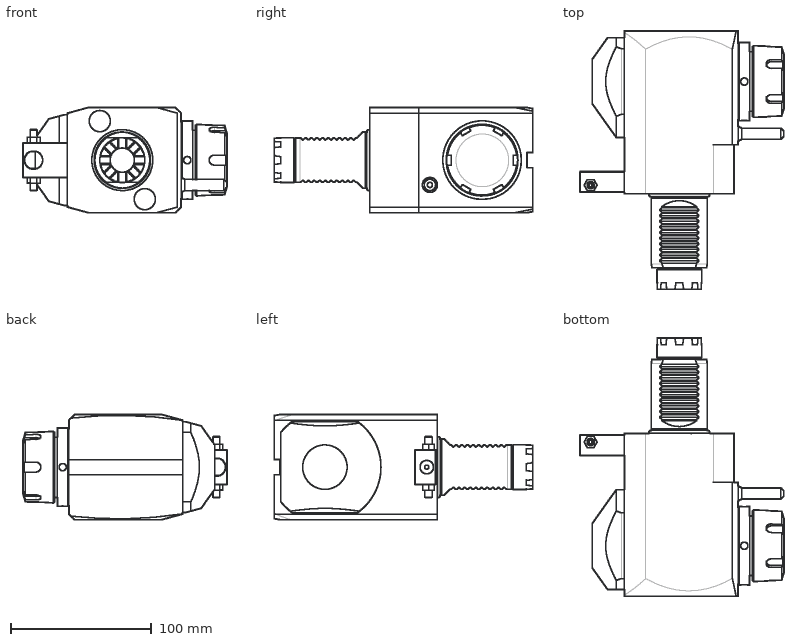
import cadquery as cq
import math


BODY_LENGTH = 116.1
BODY_HALF_HEIGHT = 37.5
BODY_HALF_WIDTH = 39.0
SIDE_HALF_HEIGHT = 33.5
BEVEL_START_X = 24.1
STEP_Y = 35.0
SPINDLE_FACE_X = 42.0
CORNER_BEVEL_WIDTH = 4.2

CROWN_RADIUS = 298.0
CROWN_HEIGHT = 36.8
CROWN_CENTRE_X = 6.6
CROWN_SLOPE = 0.18

KEYWAY_WIDTH = 10.7
KEYWAY_DEPTH = 4.0

PLUG_RADIUS = 7.5
PLUG_X = 16.0
PLUG_Z = 27.8
PLUG_DEPTH = 1.0

SPINDLE_Y = 80.0

CAP_RADIUS = 40.0
CAP_TIP_RADIUS = 15.8
CAP_RIM_X = -44.9
CAP_TIP_X = -62.0
CAP_HALF_HEIGHT = 32.4
CAP_BEND_X = -41.2
CAP_BACK_Y = 111.3

FLANGE_RADIUS = 28.0
FLANGE_START_X = 42.5
FLANGE_END_X = 50.0
FLANGE_RELIEF_RADIUS = 27.2
NECK_RADIUS = 21.3
NUT_START_X = 52.0
NUT_RADIUS = 25.5
NUT_FRONT_RADIUS = 24.8
NUT_CHAMFER_X = 72.9
NUT_END_X = 74.7
NUT_END_RADIUS = 18.8
NUT_EDGE = 1.0

WRENCH_SLOT_COUNT = 6
WRENCH_SLOT_WIDTH = 7.0
WRENCH_SLOT_START_X = 61.8
WRENCH_SLOT_FLOOR_RADIUS = 22.0

FLANGE_HOLE_COUNT = 4
FLANGE_HOLE_RADIUS = 2.5
FLANGE_HOLE_DEPTH = 2.8
DRILL_POINT_LENGTH = 1.5

PIN_Y = 42.9
PIN_Z = -17.7
PIN_RADIUS = 4.0
PIN_COLLAR_RADIUS = 5.3
PIN_COLLAR_LENGTH = 2.5
PIN_END_X = 74.5
PIN_CHAMFER = 2.2

SHANK_RADIUS = 20.0
COLLAR_RADIUS = 21.7
COLLAR_LENGTH = 2.0
COLLAR_ROUND = 1.5
UNDERCUT_RADIUS = 19.7
UNDERCUT_LENGTH = 1.1
SHANK_CHAMFER_LENGTH = 3.0
SHANK_CHAMFER_DEPTH = 0.5
SHANK_LENGTH = 52.6
DRIVE_NECK_RADIUS = 12.9
DRIVE_NECK_LENGTH = 1.0
DRIVE_RADIUS = 16.0
DRIVE_EDGE = 0.5
DRIVE_END = 67.9

CREST_HEIGHT = 15.8
CREST_WIDTH = 0.7
ROOT_HEIGHT = 14.4
SERRATION_COUNT = 10
SERRATION_PITCH = 4.01
FIRST_ROOT = 11.5
RUNOUT_START = 4.8

CLAW_SLOT_COUNT = 8
CLAW_SLOT_DEPTH = 4.8
CLAW_SLOT_FLOOR_WIDTH = 4.8
CLAW_SLOT_MOUTH_WIDTH = 6.3
CLAW_CORE_RADIUS = 8.6

BLOCK_END_X = -70.8
BLOCK_FRONT_Y = 1.1
BLOCK_BACK_Y = 16.0
BLOCK_HALF_HEIGHT = 12.5
BLOCK_CHAMFER = 0.4
CROSS_HOLE_RADIUS = 6.5
SCREW_X = -63.1
SCREW_Y = 6.3
END_HOLE_RADIUS = 4.8
END_HOLE_Y = 7.5
END_HOLE_DEPTH = 25.8
PILOT_RADIUS = 1.5
PILOT_DEPTH = 3.7
NUT_HEX_CORNERS = 9.2
NUT_HEX_HEIGHT = 3.9
STUD_RADIUS = 2.5
STUD_TIP_Z = 5.9
STUD_END_Z = 21.9
STUD_CHAMFER = 0.5
SOCKET_FLATS = 2.2
SOCKET_DEPTH = 1.8


def box(x_range, y_range, z_range):
    """Axis-aligned box between the given limits."""
    spans = [high - low for low, high in (x_range, y_range, z_range)]
    corner = (x_range[0], y_range[0], z_range[0])
    return cq.Workplane("XY").box(*spans, centered=False).translate(corner)


def rod(radius, start, end):
    """Cylinder between two points on its axis."""
    axis = cq.Vector(*end) - cq.Vector(*start)
    return cq.Workplane(obj=cq.Solid.makeCylinder(radius, axis.Length, cq.Vector(*start), axis))


def turned_on_x(profile, y, z):
    """Solid of revolution about an axis parallel to X, from (x, radius) points."""
    first_x = profile[0][0]
    last_x = profile[-1][0]
    outline = [(first_x, 0)] + profile + [(last_x, 0)]
    turned = cq.Workplane("XY").polyline(outline).close().revolve(360, (0, 0, 0), (1, 0, 0))
    return turned.translate((0, y, z))


def about_spindle(tool, index, count):
    """Copy of a tool turned to one of several evenly spaced places about the spindle axis."""
    return tool.rotate((0, SPINDLE_Y, 0), (1, SPINDLE_Y, 0), index * 360 / count)


def prism_along_y(upper_half, y_start, y_end):
    """Prism between two Y positions, mirrored about Z = 0 from its upper outline."""
    lower_half = [(x, -z) for x, z in reversed(upper_half)]
    outline = cq.Workplane("XZ", origin=(0, y_start, 0)).polyline(upper_half + lower_half).close()
    return outline.extrude(y_start - y_end)


def crown_cone():
    """Large cone that trims the rear end of the top face."""
    axis_z = CROWN_HEIGHT - CROWN_RADIUS
    front_radius = CROWN_RADIUS + CROWN_SLOPE * BODY_LENGTH
    cone = cq.Solid.makeCone(
        front_radius, CROWN_RADIUS, BODY_LENGTH, cq.Vector(CROWN_CENTRE_X, 0, axis_z), cq.Vector(0, 1, 0)
    )
    return cq.Workplane(obj=cone)


def make_body():
    left = [(-BODY_HALF_WIDTH, SIDE_HALF_HEIGHT), (-BEVEL_START_X, BODY_HALF_HEIGHT)]
    front_right = [(BEVEL_START_X, BODY_HALF_HEIGHT), (BODY_HALF_WIDTH, SIDE_HALF_HEIGHT)]
    rear_right = [
        (SPINDLE_FACE_X - CORNER_BEVEL_WIDTH, BODY_HALF_HEIGHT),
        (SPINDLE_FACE_X, SIDE_HALF_HEIGHT),
    ]
    body = prism_along_y(left + front_right, 0, STEP_Y)
    body = body.union(prism_along_y(left + rear_right, STEP_Y, BODY_LENGTH))

    upper_cone = crown_cone()
    body = body.intersect(upper_cone).intersect(upper_cone.mirror("XY"))

    keyway = box(
        (-BODY_HALF_WIDTH, SPINDLE_FACE_X),
        (BODY_LENGTH - KEYWAY_DEPTH, BODY_LENGTH),
        (-KEYWAY_WIDTH / 2, KEYWAY_WIDTH / 2),
    )
    body = body.cut(keyway)

    for side in (-1, 1):
        x = side * PLUG_X
        z = -side * PLUG_Z
        body = body.cut(rod(PLUG_RADIUS, (x, 0, z), (x, PLUG_DEPTH, z)))
    return body


def make_cap():
    """Conical rear cap, trimmed by flats and by slopes parallel to the body bevels."""
    profile = [(CAP_TIP_X, CAP_TIP_RADIUS), (CAP_RIM_X, CAP_RADIUS), (-BODY_HALF_WIDTH, CAP_RADIUS)]
    cap = turned_on_x(profile, SPINDLE_Y, 0)

    bevel_slope = (BODY_HALF_HEIGHT - SIDE_HALF_HEIGHT) / (BODY_HALF_WIDTH - BEVEL_START_X)
    tip_height = CAP_HALF_HEIGHT - bevel_slope * (CAP_BEND_X - CAP_TIP_X)
    upper_half = [
        (CAP_TIP_X, tip_height),
        (CAP_BEND_X, CAP_HALF_HEIGHT),
        (-BODY_HALF_WIDTH, CAP_HALF_HEIGHT),
    ]
    return cap.intersect(prism_along_y(upper_half, 0, CAP_BACK_Y))


def make_spindle():
    profile = [
        (SPINDLE_FACE_X, FLANGE_RELIEF_RADIUS),
        (FLANGE_START_X, FLANGE_RELIEF_RADIUS),
        (FLANGE_START_X, FLANGE_RADIUS),
        (FLANGE_END_X, FLANGE_RADIUS),
        (FLANGE_END_X, NECK_RADIUS),
        (NUT_START_X, NECK_RADIUS),
        (NUT_START_X, NUT_RADIUS - NUT_EDGE),
        (NUT_START_X + NUT_EDGE, NUT_RADIUS),
        (NUT_CHAMFER_X, NUT_FRONT_RADIUS),
        (NUT_END_X, NUT_END_RADIUS),
    ]
    spindle = turned_on_x(profile, SPINDLE_Y, 0)

    half_width = WRENCH_SLOT_WIDTH / 2
    round_centre_x = WRENCH_SLOT_START_X + half_width
    front_slot = (
        cq.Workplane("XZ", origin=(0, SPINDLE_Y - WRENCH_SLOT_FLOOR_RADIUS, 0))
        .moveTo(NUT_END_X, half_width)
        .lineTo(round_centre_x, half_width)
        .threePointArc((WRENCH_SLOT_START_X, 0), (round_centre_x, -half_width))
        .lineTo(NUT_END_X, -half_width)
        .close()
        .extrude(NUT_RADIUS - WRENCH_SLOT_FLOOR_RADIUS)
    )
    for index in range(WRENCH_SLOT_COUNT):
        spindle = spindle.cut(about_spindle(front_slot, index, WRENCH_SLOT_COUNT))

    hole_x = (FLANGE_START_X + FLANGE_END_X) / 2
    rim_point = (hole_x, SPINDLE_Y - FLANGE_RADIUS, 0)
    hole_end = (hole_x, SPINDLE_Y - FLANGE_RADIUS + FLANGE_HOLE_DEPTH, 0)
    front_hole = rod(FLANGE_HOLE_RADIUS, rim_point, hole_end)
    drill_point = cq.Solid.makeCone(
        FLANGE_HOLE_RADIUS, 0, DRILL_POINT_LENGTH, cq.Vector(*hole_end), cq.Vector(0, 1, 0)
    )
    front_hole = front_hole.union(cq.Workplane(obj=drill_point))
    for index in range(FLANGE_HOLE_COUNT):
        spindle = spindle.cut(about_spindle(front_hole, index, FLANGE_HOLE_COUNT))
    return spindle


def make_pin():
    profile = [
        (SPINDLE_FACE_X, PIN_COLLAR_RADIUS),
        (SPINDLE_FACE_X + PIN_COLLAR_LENGTH, PIN_RADIUS),
        (PIN_END_X - PIN_CHAMFER, PIN_RADIUS),
        (PIN_END_X, PIN_RADIUS - PIN_CHAMFER),
    ]
    return turned_on_x(profile, PIN_Y, PIN_Z)


def make_shank():
    """Round shank with a serrated flat above and below, ending in a clawed drive."""
    undercut_end = COLLAR_LENGTH + UNDERCUT_LENGTH
    drive_start = SHANK_LENGTH + DRIVE_NECK_LENGTH
    shank = (
        cq.Workplane("XY")
        .moveTo(0, 0)
        .lineTo(COLLAR_RADIUS, 0)
        .lineTo(COLLAR_RADIUS, COLLAR_ROUND - COLLAR_LENGTH)
        .tangentArcPoint((COLLAR_RADIUS - COLLAR_ROUND, -COLLAR_LENGTH), relative=False)
        .lineTo(UNDERCUT_RADIUS, -COLLAR_LENGTH)
        .lineTo(UNDERCUT_RADIUS, -undercut_end)
        .lineTo(SHANK_RADIUS, -undercut_end)
        .lineTo(SHANK_RADIUS, SHANK_CHAMFER_LENGTH - SHANK_LENGTH)
        .lineTo(SHANK_RADIUS - SHANK_CHAMFER_DEPTH, -SHANK_LENGTH)
        .lineTo(DRIVE_NECK_RADIUS, -SHANK_LENGTH)
        .lineTo(DRIVE_NECK_RADIUS, -drive_start)
        .lineTo(DRIVE_RADIUS - DRIVE_EDGE, -drive_start)
        .lineTo(DRIVE_RADIUS, -drive_start - DRIVE_EDGE)
        .lineTo(DRIVE_RADIUS, -DRIVE_END)
        .lineTo(0, -DRIVE_END)
        .close()
        .revolve(360, (0, 0, 0), (0, 1, 0))
    )

    upper_flat = serrated_flat()
    shank = shank.cut(upper_flat).cut(upper_flat.mirror("XY"))
    for index in range(CLAW_SLOT_COUNT):
        shank = shank.cut(claw_slot().rotate((0, 0, 0), (0, 1, 0), index * 360 / CLAW_SLOT_COUNT))
    return shank


def serrated_flat():
    """Material above the serrated flat, drawn in the YZ plane and spanning the shank width."""
    root_to_crest = (SERRATION_PITCH - CREST_WIDTH) / 2
    runout_end = FIRST_ROOT - root_to_crest - CREST_WIDTH
    outline = [(-RUNOUT_START, SHANK_RADIUS), (-runout_end, CREST_HEIGHT)]
    for index in range(SERRATION_COUNT):
        root_y = -FIRST_ROOT - index * SERRATION_PITCH
        outline.append((root_y + root_to_crest, CREST_HEIGHT))
        outline.append((root_y, ROOT_HEIGHT))
        outline.append((root_y - root_to_crest, CREST_HEIGHT))
    outline.append((-SHANK_LENGTH, CREST_HEIGHT))
    outline.append((-SHANK_LENGTH, SHANK_RADIUS))
    return cq.Workplane("YZ").polyline(outline).close().extrude(SHANK_RADIUS, both=True)


def claw_slot():
    """Tapered radial slot in the drive end, running from the round core out to the rim on +Z."""
    floor_y = CLAW_SLOT_DEPTH - DRIVE_END
    slot = (
        cq.Workplane("XY")
        .polyline([
            (-CLAW_SLOT_FLOOR_WIDTH / 2, floor_y),
            (CLAW_SLOT_FLOOR_WIDTH / 2, floor_y),
            (CLAW_SLOT_MOUTH_WIDTH / 2, -DRIVE_END),
            (-CLAW_SLOT_MOUTH_WIDTH / 2, -DRIVE_END),
        ])
        .close()
        .extrude(DRIVE_RADIUS)
    )
    return slot.cut(rod(CLAW_CORE_RADIUS, (0, -DRIVE_END, 0), (0, floor_y, 0)))


def make_coolant_block():
    block = box(
        (BLOCK_END_X, -BODY_HALF_WIDTH),
        (BLOCK_FRONT_Y, BLOCK_BACK_Y),
        (-BLOCK_HALF_HEIGHT, BLOCK_HALF_HEIGHT),
    )
    block = block.edges("|X").chamfer(BLOCK_CHAMFER).faces("<X").edges().chamfer(BLOCK_CHAMFER)

    block = block.cut(rod(CROSS_HOLE_RADIUS, (SCREW_X, BLOCK_FRONT_Y, 0), (SCREW_X, BLOCK_BACK_Y, 0)))
    end_face = (BLOCK_END_X, END_HOLE_Y, 0)
    hole_floor = (BLOCK_END_X + END_HOLE_DEPTH, END_HOLE_Y, 0)
    pilot_floor = (BLOCK_END_X + END_HOLE_DEPTH + PILOT_DEPTH, END_HOLE_Y, 0)
    block = block.cut(rod(END_HOLE_RADIUS, end_face, hole_floor))
    block = block.cut(rod(PILOT_RADIUS, hole_floor, pilot_floor))

    screw = make_screw()
    return block.union(screw).union(screw.mirror("XY"))


def make_screw():
    """Socket stud with its hexagon nut, screwed into the top of the coolant block."""
    base = cq.Workplane("XY", origin=(SCREW_X, SCREW_Y, BLOCK_HALF_HEIGHT))
    nut = base.polygon(6, NUT_HEX_CORNERS).extrude(NUT_HEX_HEIGHT)
    stud = rod(STUD_RADIUS, (SCREW_X, SCREW_Y, STUD_TIP_Z), (SCREW_X, SCREW_Y, STUD_END_Z))
    stud = stud.faces(">Z").chamfer(STUD_CHAMFER)
    socket_corners = SOCKET_FLATS / math.cos(math.pi / 6)
    socket_plane = cq.Workplane("XY", origin=(SCREW_X, SCREW_Y, STUD_END_Z))
    socket = socket_plane.polygon(6, socket_corners).extrude(-SOCKET_DEPTH)
    return nut.union(stud.cut(socket))


result = (
    make_body()
    .union(make_cap())
    .union(make_spindle())
    .union(make_pin())
    .union(make_shank())
    .union(make_coolant_block())
)